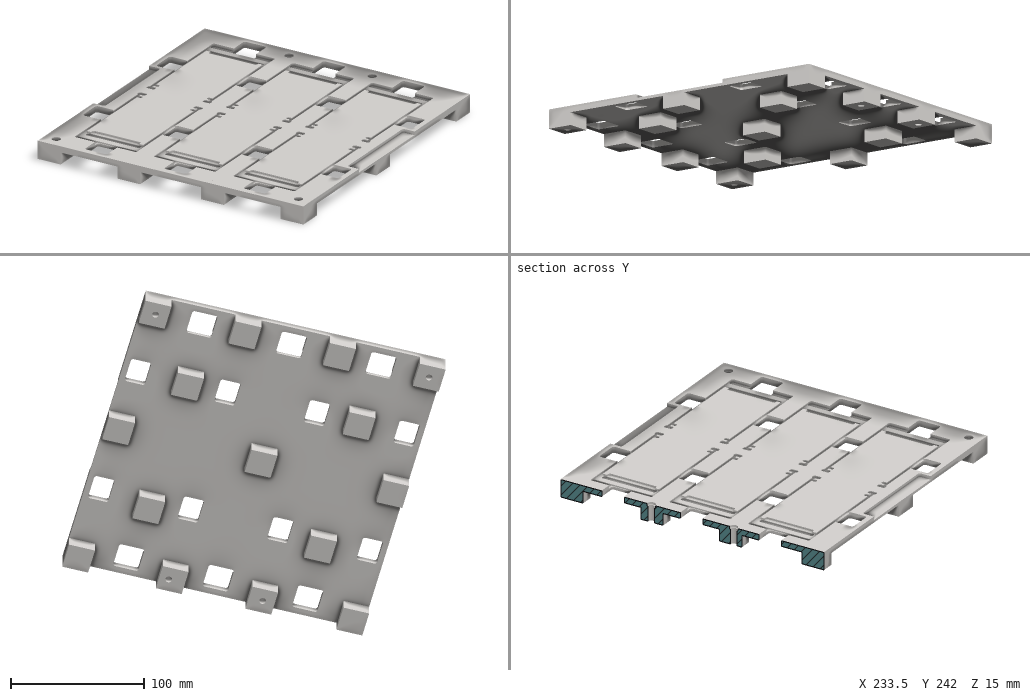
import cadquery as cq

SIZE_X = 233.5
SIZE_Y = 242.0
HEIGHT = 15.0
PLATE_THICKNESS = 5.0
FOOT_SIZE = 20.0

PITCH = 69.7
PANEL_COLUMNS = [-PITCH, 0, PITCH]
PANEL_WIDTH = 49.5
PANEL_LENGTH = 173.0
POCKET_WIDTH = 54.5
POCKET_LENGTH = 201.5
SHALLOW_DEPTH = 1.5
DEEP_DEPTH = 2.7
RECESS_RADIUS = 1.5

END_GROOVE_WIDTH = 5.0
PANEL_SLOT_LENGTH = 47.5
PANEL_SLOT_WIDTH = 4.0
LEDGE_LENGTH = 42.4
LEDGE_WIDTH = 3.1

END_RECESS_START = 4.5
END_RECESS_LENGTH = 4.0
NOTCH_START = 10.6
NOTCH_LENGTH = 3.1
NOTCH_RADIUS = 1.5
NOTCH_REACH = 3.6
END_RECESS_OVERHANG = 1.0

END_WINDOW_SIZE = 19.5
END_WINDOW_SHIFT = 0.7
SIDE_WINDOW_LENGTH = 20.0
SIDE_WINDOW_WIDTH = 15.7
SIDE_WINDOW_Y = 53.2
WINDOW_MARGIN = 5.0
WINDOW_RADIUS = 2.0

FINGER_LENGTH = 80.5
FINGER_REACH = 10.2
FINGER_DEPTH = 3.0
FINGER_RADIUS = 2.0

HOLE_DIAMETER = 5.0
COUNTERBORE_DIAMETER = 7.0
COUNTERBORE_DEPTH = 2.0
HOLE_Y = 111.0
FRONT_HOLE_X = 106.5
BACK_HOLE_X = 36.5

FRONT_FOOT_X = 36.8
BACK_FEET_X = [-34.0, 35.8]
INNER_FOOT_X = 66.8
INNER_FOOT_Y = 56.1
MIDDLE_FOOT_X = 4.0
MIDDLE_FOOT_Y = -5.0

EDGE_FOOT_X = (SIZE_X - FOOT_SIZE) / 2
EDGE_FOOT_Y = (SIZE_Y - FOOT_SIZE) / 2


def top_cutter(x_min, x_max, y_min, y_max, depth, radius=0):
    """Block that cuts down from the top face, with optional rounded upright edges."""
    cutter = (
        cq.Workplane("XY", origin=((x_min + x_max) / 2, (y_min + y_max) / 2, HEIGHT - depth))
        .rect(x_max - x_min, y_max - y_min)
        .extrude(depth)
    )
    if radius:
        cutter = cutter.edges("|Z").fillet(radius)
    return cutter


def foot_points():
    """Centres of all feet."""
    corners = [(x, y) for x in (-EDGE_FOOT_X, EDGE_FOOT_X) for y in (-EDGE_FOOT_Y, EDGE_FOOT_Y)]
    front = [(x, -EDGE_FOOT_Y) for x in (-FRONT_FOOT_X, FRONT_FOOT_X)]
    back = [(x, EDGE_FOOT_Y) for x in BACK_FEET_X]
    inner = [(x, y) for x in (-INNER_FOOT_X, INNER_FOOT_X) for y in (-INNER_FOOT_Y, INNER_FOOT_Y)]
    middle = [(x, MIDDLE_FOOT_Y) for x in (-EDGE_FOOT_X, MIDDLE_FOOT_X, EDGE_FOOT_X)]
    return corners + front + back + inner + middle


def make_body():
    """Flat plate standing on square feet."""
    plate = (
        cq.Workplane("XY", origin=(0, 0, HEIGHT - PLATE_THICKNESS))
        .rect(SIZE_X, SIZE_Y)
        .extrude(PLATE_THICKNESS)
    )
    feet = (
        cq.Workplane("XY")
        .pushPoints(foot_points())
        .rect(FOOT_SIZE, FOOT_SIZE)
        .extrude(HEIGHT - PLATE_THICKNESS)
    )
    return plate.union(feet)


def make_side_groove():
    """Groove along the +X side of the +Y half of a panel, with its widened end."""
    panel_edge = PANEL_WIDTH / 2
    pocket_edge = POCKET_WIDTH / 2
    notch_edge = panel_edge - NOTCH_REACH
    recess_middle = END_RECESS_START + END_RECESS_LENGTH / 2
    groove = top_cutter(panel_edge, pocket_edge, recess_middle, PANEL_LENGTH / 2, SHALLOW_DEPTH)
    end_recess = top_cutter(
        notch_edge,
        pocket_edge + END_RECESS_OVERHANG,
        END_RECESS_START,
        END_RECESS_START + END_RECESS_LENGTH,
        SHALLOW_DEPTH,
        RECESS_RADIUS,
    )
    notch = top_cutter(
        notch_edge,
        pocket_edge,
        NOTCH_START,
        NOTCH_START + NOTCH_LENGTH,
        SHALLOW_DEPTH,
        NOTCH_RADIUS,
    )
    return groove.union(end_recess).union(notch)


def make_pocket_end():
    """Stepped recess beyond the +Y end of a panel."""
    panel_end = PANEL_LENGTH / 2
    pocket_end = POCKET_LENGTH / 2
    half_pocket = POCKET_WIDTH / 2
    half_slot = PANEL_SLOT_LENGTH / 2
    half_ledge = LEDGE_LENGTH / 2
    slot_end = panel_end + PANEL_SLOT_WIDTH
    groove_start = pocket_end - END_GROOVE_WIDTH

    floor = top_cutter(-half_pocket, half_pocket, panel_end, pocket_end, SHALLOW_DEPTH, RECESS_RADIUS)
    floor = floor.union(top_cutter(-half_pocket, half_pocket, panel_end, groove_start, SHALLOW_DEPTH))
    end_groove = top_cutter(-half_pocket, half_pocket, groove_start, pocket_end, DEEP_DEPTH, RECESS_RADIUS)
    panel_slot = top_cutter(-half_slot, half_slot, panel_end, slot_end, DEEP_DEPTH, RECESS_RADIUS)
    ledge = top_cutter(-half_ledge, half_ledge, panel_end - LEDGE_WIDTH, slot_end, SHALLOW_DEPTH, RECESS_RADIUS)
    return floor.union(end_groove).union(panel_slot).union(ledge)


def make_pocket():
    """Everything cut around one panel, centred on the origin; the panel stays joined at mid-length."""
    groove = make_side_groove()
    half = make_pocket_end().union(groove).union(groove.mirror("YZ"))
    return half.union(half.mirror("XZ"))


def make_windows(points, width, length):
    """Rounded openings through the plate."""
    return (
        cq.Workplane("XY", origin=(0, 0, HEIGHT - PLATE_THICKNESS))
        .pushPoints(points)
        .rect(width, length)
        .extrude(PLATE_THICKNESS)
        .edges("|Z")
        .fillet(WINDOW_RADIUS)
    )


def make_finger_recess():
    """Recess at the +X side; it runs past the side so that only its inner corners are rounded."""
    return top_cutter(
        SIZE_X / 2 - FINGER_REACH,
        SIZE_X / 2 + FINGER_REACH,
        -FINGER_LENGTH / 2,
        FINGER_LENGTH / 2,
        FINGER_DEPTH,
        FINGER_RADIUS,
    )


result = make_body()

pocket = make_pocket()
for column_x in PANEL_COLUMNS:
    result = result.cut(pocket.translate((column_x, 0, 0)))

end_window_y = SIZE_Y / 2 - WINDOW_MARGIN - END_WINDOW_SIZE / 2
end_window_points = [(x + END_WINDOW_SHIFT, y) for x in PANEL_COLUMNS for y in (-end_window_y, end_window_y)]
result = result.cut(make_windows(end_window_points, END_WINDOW_SIZE, END_WINDOW_SIZE))

side_window_columns = [PITCH * (i - 1.5) for i in range(4)]
side_window_points = [(x, y) for x in side_window_columns for y in (-SIDE_WINDOW_Y, SIDE_WINDOW_Y)]
result = result.cut(make_windows(side_window_points, SIDE_WINDOW_WIDTH, SIDE_WINDOW_LENGTH))

finger_recess = make_finger_recess()
result = result.cut(finger_recess).cut(finger_recess.mirror("YZ"))

hole_points = [(-FRONT_HOLE_X, -HOLE_Y), (FRONT_HOLE_X, -HOLE_Y), (-BACK_HOLE_X, HOLE_Y), (BACK_HOLE_X, HOLE_Y)]
result = (
    result.faces(">Z")
    .workplane(origin=(0, 0, HEIGHT))
    .pushPoints(hole_points)
    .cboreHole(HOLE_DIAMETER, COUNTERBORE_DIAMETER, COUNTERBORE_DEPTH)
)